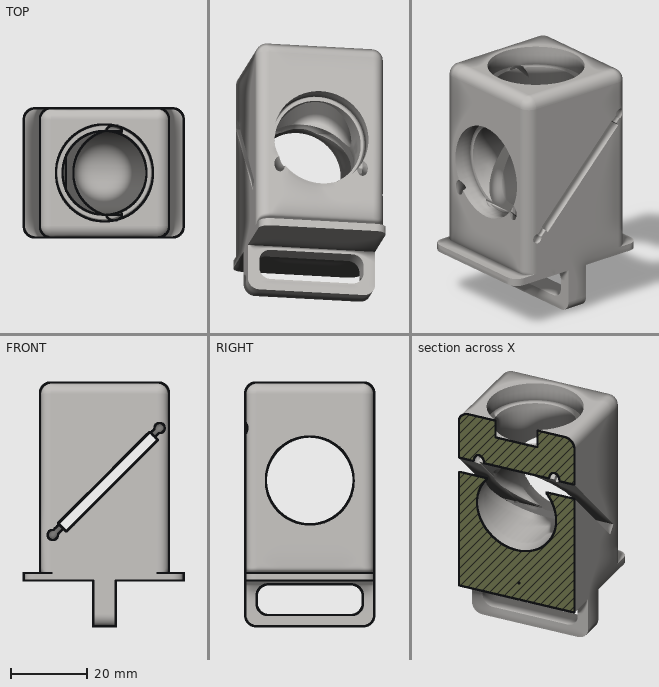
import cadquery as cq
body_side = 33.9
total_height = 64.0
edge_radius = 3.0
plate_length = 42.0
plate_thickness = 2.0
tab_height = 12.0
tab_width = 6.0
tab_bar = 3.0
window_width = 27.8
window_height = 8.0

axis_x = 0.2
axis_depth = 25.7

side_bore = 23.0
side_counterbore = 25.3
top_bore = 22.0
top_counterbore = 25.5
counterbore_depth = 5.0

slot_length = 33.9
slot_thickness = 2.9
slot_along = 0.45
slot_above = -0.9

keyhole_diameter = 2.7
keyhole_spacing = 39.6
keyhole_depth = 3.0
keyhole_along = 0.1
keyhole_above = -0.5
neck_width = 1.6

seat_length = 34.05
seat_width = 22.0
seat_along = -0.6
seat_floor = 0.1
seat_ceiling = 0.7

relief_diameter = 2.9

body_bottom = tab_height + plate_thickness
axis_z = total_height - axis_depth
half_side = body_side / 2
axis_point = (axis_x, 0, axis_z)
slope_plane = cq.Plane(origin=axis_point, xDir=(1, 0, 1), normal=(-1, 0, 1))
face_plane = cq.Plane(origin=(axis_x, -half_side, axis_z), xDir=(1, 0, 1), normal=(0, -1, 0))


def make_body():
    block = (
        cq.Workplane("XY", origin=(axis_x, 0, body_bottom))
        .rect(body_side, body_side)
        .extrude(total_height - body_bottom)
    )
    return block.edges("|Z").fillet(edge_radius).faces(">Z").edges().fillet(edge_radius)


def make_plate():
    return (
        cq.Workplane("XY", origin=(0, 0, tab_height))
        .rect(plate_length, body_side)
        .extrude(plate_thickness)
        .edges("|Z")
        .fillet(edge_radius)
    )


def make_tab():
    tab = (
        cq.Workplane("YZ", origin=(axis_x, 0, tab_height / 2))
        .rect(body_side, tab_height)
        .extrude(tab_width / 2, both=True)
        .edges("|X and <Z")
        .fillet(edge_radius)
    )
    window = (
        cq.Workplane("YZ", origin=(axis_x, 0, tab_bar + window_height / 2))
        .rect(window_width, window_height)
        .extrude(tab_width, both=True)
        .edges("|X")
        .fillet(edge_radius)
    )
    return tab.cut(window)


def side_cylinder(diameter, depth):
    """Cylinder running inward from the -X face."""
    start = (axis_x - half_side, 0, axis_z)
    return cq.Workplane("YZ", origin=start).circle(diameter / 2).extrude(depth)


def top_cylinder(diameter, depth):
    """Cylinder running down from the top face."""
    start = (axis_x, 0, total_height)
    return cq.Workplane("XY", origin=start).circle(diameter / 2).extrude(-depth)


def make_slot():
    return (
        cq.Workplane(slope_plane)
        .center(slot_along, 0)
        .workplane(offset=slot_above)
        .rect(slot_length, 2 * body_side)
        .extrude(slot_thickness / 2, both=True)
    )


def make_keyholes():
    middle = cq.Workplane(face_plane).center(keyhole_along, keyhole_above)
    rounds = (
        middle.rarray(keyhole_spacing, 0.65, 2, 1)
        .circle(keyhole_diameter / 2)
        .extrude(-keyhole_depth)
    )
    necks = middle.rect(keyhole_spacing, neck_width).extrude(-keyhole_depth)
    return rounds.union(necks)


def make_seat():
    return (
        cq.Workplane(slope_plane)
        .center(seat_along, 0)
        .workplane(offset=seat_floor)
        .rect(seat_length, seat_width)
        .extrude(seat_ceiling - seat_floor)
    )


def make_relief(end, side, keep_corner):
    """Relief at one seat corner; keep_corner leaves the quarter facing the seat middle solid."""
    reach = body_side
    corner = (
        cq.Workplane(slope_plane)
        .workplane(offset=seat_floor)
        .center(seat_along + end * seat_length / 2, side * seat_width / 2)
    )
    relief = corner.circle(relief_diameter / 2).extrude(reach)
    if keep_corner:
        inner_quarter = (
            corner.center(-end * relief_diameter / 2, -side * relief_diameter / 2)
            .rect(relief_diameter, relief_diameter)
            .extrude(reach)
        )
        relief = relief.cut(inner_quarter)
    return relief


result = make_body().union(make_plate()).union(make_tab())
result = result.cut(side_cylinder(side_bore, body_side))
result = result.cut(side_cylinder(side_counterbore, counterbore_depth))
result = result.cut(top_cylinder(top_bore, axis_depth))
result = result.cut(top_cylinder(top_counterbore, counterbore_depth))
result = result.cut(make_slot()).cut(make_seat()).cut(make_keyholes())
for end in (-1, 1):
    for side in (-1, 1):
        full_round = end == -1 and side == 1
        result = result.cut(make_relief(end, side, not full_round))